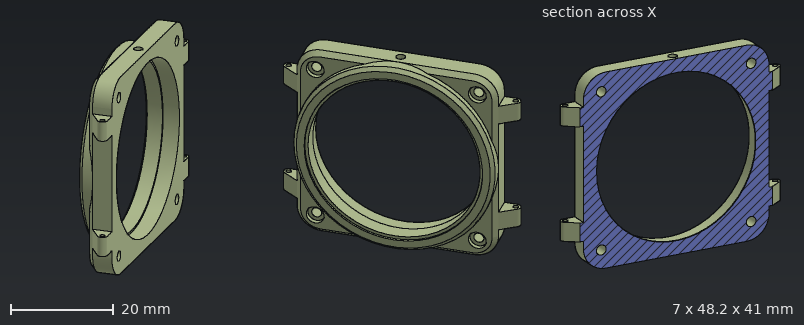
import cadquery as cq
import math

side = 41.0
plate_depth = 5.0
ring_height = 2.0
corner_radius = 5.0
plate_chamfer = 1.0
ring_chamfer = 0.75
bore_diameter = 34.95
lip_diameter = 36.25
lip_depth = 0.5
rear_bore_diameter = 35.8
rear_bore_depth = 3.38
screw_offset = 16.5
screw_diameter = 2.03
counterbore_diameter = 3.6
counterbore_depth = 1.0
side_hole_diameter = 1.85
ear_span = 48.2
ear_height = 4.0
ear_offset = 12.0
ear_radius = 1.0
pin_diameter = 1.0

depth = plate_depth + ring_height
half_side = side / 2
band_front = ring_height + plate_chamfer
side_hole_x = (band_front + depth) / 2
pin_x = depth - ear_radius
pin_y = ear_span / 2 - ear_radius


def make_plate():
    """Rounded square plate with its front rim chamfered."""
    return (
        cq.Workplane("YZ", origin=(ring_height, 0, 0))
        .rect(side, side)
        .extrude(plate_depth)
        .edges("|X")
        .fillet(corner_radius)
        .faces("<X")
        .chamfer(plate_chamfer)
    )


def make_ring():
    """Round boss as wide as the plate, reaching back over the plate chamfer."""
    return cq.Workplane("YZ").circle(half_side).extrude(band_front).faces("<X").chamfer(ring_chamfer)


def make_ear(z_centre):
    """Hinge ear on the +Y side: a round tip with a flank tangent to it."""
    foot_dx = band_front - pin_x
    foot_dy = half_side - pin_y
    tangent_angle = math.atan2(foot_dy, foot_dx) - math.acos(ear_radius / math.hypot(foot_dx, foot_dy))
    tangent_x = pin_x + ear_radius * math.cos(tangent_angle)
    tangent_y = pin_y + ear_radius * math.sin(tangent_angle)
    root_y = half_side - ear_radius
    return (
        cq.Workplane("XY", origin=(0, 0, z_centre - ear_height / 2))
        .moveTo(band_front, root_y)
        .lineTo(band_front, half_side)
        .lineTo(tangent_x, tangent_y)
        .threePointArc((pin_x, pin_y + ear_radius), (depth, pin_y))
        .lineTo(depth, root_y)
        .close()
        .extrude(ear_height)
        .cut(
            cq.Workplane("XY", origin=(pin_x, pin_y, z_centre))
            .circle(pin_diameter / 2)
            .extrude(ear_height / 2, both=True)
        )
    )


def cut_bore(body):
    """Through bore with a shallow front recess and a slightly wider rear stretch."""
    bore = cq.Workplane("YZ").circle(bore_diameter / 2).extrude(depth)
    mouth = cq.Workplane("YZ").circle(lip_diameter / 2).extrude(lip_depth)
    rear = cq.Workplane("YZ", origin=(depth, 0, 0)).circle(rear_bore_diameter / 2).extrude(-rear_bore_depth)
    return body.cut(bore).cut(mouth).cut(rear)


def cut_screw_holes(body):
    """Counterbored screw hole in each corner."""
    return (
        body.cut(
            cq.Workplane("YZ", origin=(ring_height, 0, 0))
            .rect(2 * screw_offset, 2 * screw_offset, forConstruction=True)
            .vertices()
            .circle(screw_diameter / 2)
            .extrude(plate_depth)
        )
        .cut(
            cq.Workplane("YZ", origin=(ring_height, 0, 0))
            .rect(2 * screw_offset, 2 * screw_offset, forConstruction=True)
            .vertices()
            .circle(counterbore_diameter / 2)
            .extrude(counterbore_depth)
        )
    )


def cut_side_hole(body):
    """Radial hole from the top side into the bore."""
    hole = cq.Workplane("XY", origin=(side_hole_x, 0, 0)).circle(side_hole_diameter / 2).extrude(half_side)
    return body.cut(hole)


frame = make_plate().union(make_ring())
for z_centre in (-ear_offset, ear_offset):
    ear = make_ear(z_centre)
    frame = frame.union(ear).union(ear.mirror("XZ"))

result = cut_side_hole(cut_screw_holes(cut_bore(frame)))